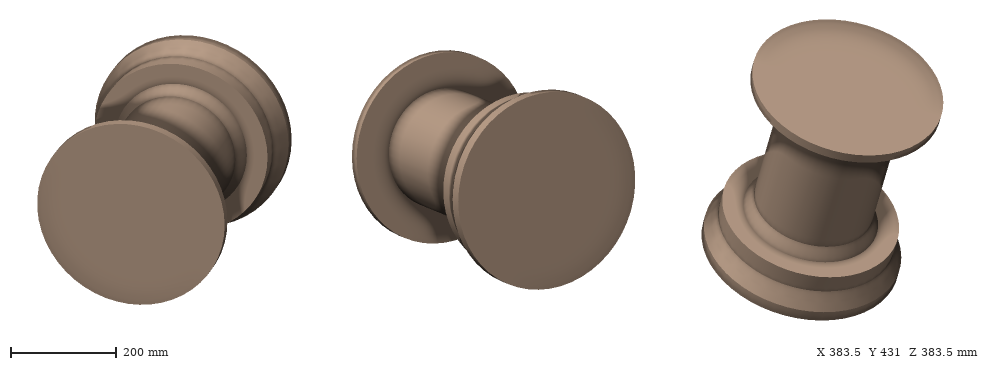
import cadquery as cq

flange_diameter = 371.0
barrel_diameter = 232.0
neck_diameter = 262.0
collar_diameter = 344.0
rim_diameter = 383.5

total_length = 431.0
flange_thickness = 19.0
neck_length = 26.5
collar_length = 37.5
taper_length = 35.8
rim_thickness = 22.0

rim_start = total_length - rim_thickness
taper_start = rim_start - taper_length
collar_start = taper_start - collar_length
neck_start = collar_start - neck_length

half_section = [
    (0, 0),
    (flange_diameter / 2, 0),
    (flange_diameter / 2, flange_thickness),
    (barrel_diameter / 2, flange_thickness),
    (barrel_diameter / 2, neck_start),
    (neck_diameter / 2, collar_start),
    (collar_diameter / 2, collar_start),
    (collar_diameter / 2, taper_start),
    (rim_diameter / 2, rim_start),
    (rim_diameter / 2, total_length),
    (0, total_length),
]

result = (
    cq.Workplane("XY")
    .polyline(half_section)
    .close()
    .revolve(360, (0, 0, 0), (0, 1, 0))
)